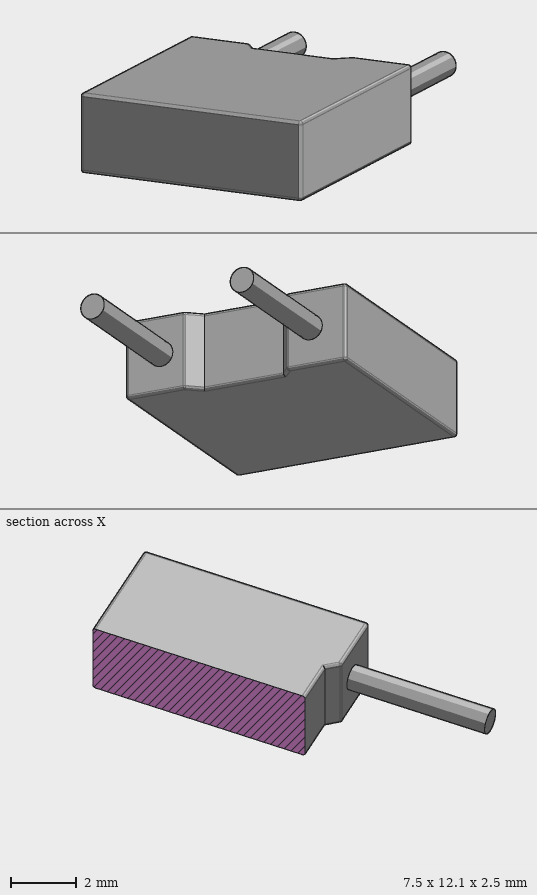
import cadquery as cq
import math


BODY_WIDTH = 7.5
BODY_LENGTH = 7.5
BODY_HEIGHT = 2.5
EDGE_RADIUS = 0.1

NOTCH_DEPTH = 0.4
NOTCH_MOUTH_HALF_WIDTH = 1.75
NOTCH_LEFT_FLANK_ANGLE = 50
NOTCH_RIGHT_FLANK_ANGLE = 40

LEAD_PITCH = 5.08
LEAD_DIAMETER = 0.8
LEAD_LENGTH = 4.6
LEAD_EMBEDMENT = 0.5

REAR_Y = BODY_LENGTH / 2


def make_body():
    """Notched block, centred on the origin, with every edge rounded but the two inner notch corners."""
    left_flank_run = NOTCH_DEPTH / math.tan(math.radians(NOTCH_LEFT_FLANK_ANGLE))
    right_flank_run = NOTCH_DEPTH / math.tan(math.radians(NOTCH_RIGHT_FLANK_ANGLE))
    notch_floor_y = REAR_Y - NOTCH_DEPTH
    outline = [
        (-BODY_WIDTH / 2, -BODY_LENGTH / 2),
        (BODY_WIDTH / 2, -BODY_LENGTH / 2),
        (BODY_WIDTH / 2, REAR_Y),
        (NOTCH_MOUTH_HALF_WIDTH, REAR_Y),
        (NOTCH_MOUTH_HALF_WIDTH - right_flank_run, notch_floor_y),
        (-NOTCH_MOUTH_HALF_WIDTH + left_flank_run, notch_floor_y),
        (-NOTCH_MOUTH_HALF_WIDTH, REAR_Y),
        (-BODY_WIDTH / 2, REAR_Y),
    ]
    block = cq.Workplane("XY").polyline(outline).close().extrude(BODY_HEIGHT / 2, both=True)
    convex_uprights = block.edges("|Z").edges("<Y or >Y")
    rounded = convex_uprights.fillet(EDGE_RADIUS)
    return rounded.faces("<Z or >Z").edges().fillet(EDGE_RADIUS)


def make_lead(x):
    """Round lead along +Y at the given X, at mid-height of the body."""
    start = cq.Vector(x, REAR_Y - LEAD_EMBEDMENT, 0)
    direction = cq.Vector(0, 1, 0)
    return cq.Solid.makeCylinder(LEAD_DIAMETER / 2, LEAD_LENGTH + LEAD_EMBEDMENT, start, direction)


result = make_body()
for side in (-1, 1):
    result = result.union(cq.Workplane(make_lead(side * LEAD_PITCH / 2)))